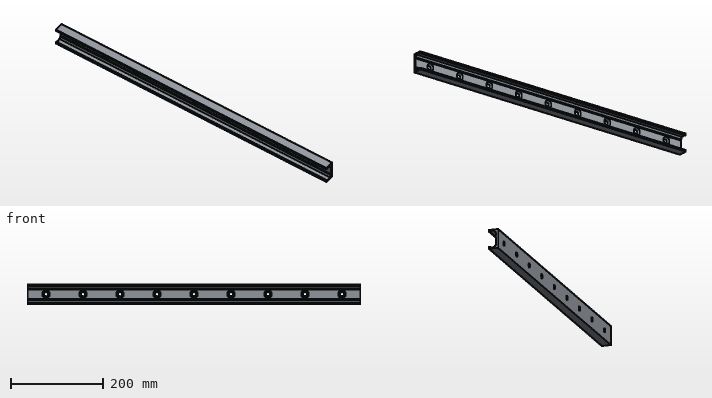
import cadquery as cq

length = 720.0
depth = 21.0
height = 43.0

web_thickness = 4.7
shoulder_step = 0.4
shoulder_depth = 11.5
bevel_start_depth = 9.0
bevel_run = 3.0
bevel_end_depth = 3.5
raceway_thickness = 3.0
lip_thickness = 4.0
lip_width = 1.8

hole_count = 9
hole_pitch = length / hole_count
hole_diameter = 9.0
countersink_diameter = 16.5
countersink_angle = 90.0

front_y = -depth / 2
back_y = depth / 2
half_height = height / 2
web_front_y = back_y - web_thickness
shoulder_y = web_front_y - shoulder_step
bevel_end_y = shoulder_y - bevel_run
lip_edge_y = front_y + lip_width
raceway_middle_y = (bevel_end_y + lip_edge_y) / 2
lip_z = half_height - lip_thickness
raceway_z = half_height - raceway_thickness
bevel_end_z = half_height - bevel_end_depth
bevel_start_z = half_height - bevel_start_depth
shoulder_z = half_height - shoulder_depth


def make_rail():
    """Channel with a shoulder, a bevel and a shallow ball raceway inside each flange."""
    upper_half = (
        cq.Workplane("YZ")
        .moveTo(back_y, 0)
        .lineTo(back_y, half_height)
        .lineTo(front_y, half_height)
        .lineTo(front_y, lip_z)
        .lineTo(lip_edge_y, lip_z)
        .threePointArc((raceway_middle_y, raceway_z), (bevel_end_y, bevel_end_z))
        .lineTo(shoulder_y, bevel_start_z)
        .lineTo(shoulder_y, shoulder_z)
        .lineTo(web_front_y, shoulder_z)
        .lineTo(web_front_y, 0)
        .close()
        .extrude(length / 2, both=True)
    )
    return upper_half.union(upper_half.mirror("XY")).clean()


def drill_mounting_holes(rail):
    """Row of holes along the web, countersunk from its channel side."""
    return (
        rail.copyWorkplane(cq.Workplane("XZ", origin=(0, web_front_y, 0)))
        .rarray(hole_pitch, 7, hole_count, 1)
        .cskHole(hole_diameter, countersink_diameter, countersink_angle, depth=web_thickness)
    )


result = drill_mounting_holes(make_rail())